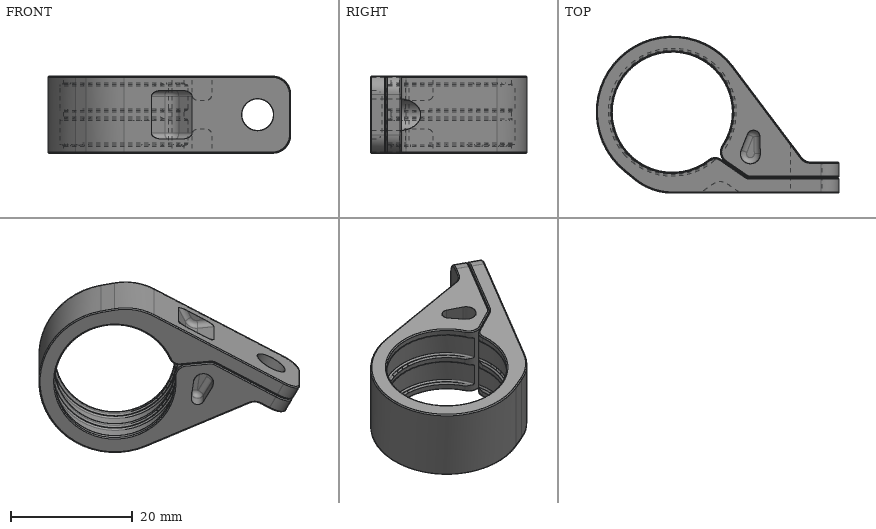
import cadquery as cq
import math


HEIGHT = 12.7
RING_RADIUS = 12.5
BORE_RADIUS = 9.875
RIM_CHAMFER = 0.2

BASE_Y = -13.31
BASE_CORNER_RADIUS = 9.75
TAB_END_X = 27.435
JAW_THICKNESS = 2.5
SLOT_WIDTH = 0.1
TAB_TOP_Y = BASE_Y + 2 * JAW_THICKNESS + SLOT_WIDTH
TAB_CORNER_RADIUS = 3.0
TAB_BLEND_RADIUS = 2.0
WEB_ANGLE = 36.9

SLOT_Y = BASE_Y + JAW_THICKNESS + SLOT_WIDTH / 2
SLOT_BEND_X = 12.42
SLOT_BEND_RADIUS = 1.5
SLOT_ANGLE = 34.6
LOWER_JAW_TIP_RADIUS = 1.6
UPPER_JAW_TIP_RADIUS = 2.0

SCREW_DIAMETER = 5.2
SCREW_X = 22.0

LAND_HEIGHT = 1.39
GROOVE_COUNT = 2
GROOVE_DEPTH = 0.65
GROOVE_ROUND = 0.28
GROOVE_HEIGHT = (HEIGHT - (GROOVE_COUNT + 1) * LAND_HEIGHT) / GROOVE_COUNT

V_POCKET_X = 7.89
V_POCKET_WIDTH = 6.69
V_POCKET_HEIGHT = 8.0
V_POCKET_SLOPE = 35.0
V_POCKET_ROOT_RADIUS = 2.0

WEB_POCKET_LARGE = (12.84, -6.84)
WEB_POCKET_LARGE_RADIUS = 1.64
WEB_POCKET_SMALL = (13.34, -4.02)
WEB_POCKET_SMALL_RADIUS = 1.06
WEB_POCKET_DEPTH = 4.0

POCKET_FLOOR_FILLET = 1.0

OVERCUT = 5.0


def polar(radius, degrees, center=(0.0, 0.0)):
    """Point at the given radius and direction from a centre."""
    angle = math.radians(degrees)
    return (center[0] + radius * math.cos(angle), center[1] + radius * math.sin(angle))


def make_body():
    """Solid outline of ring, web and tab, with rounded tab corners."""
    corner_center = (0.0, BASE_Y + BASE_CORNER_RADIUS)
    tangent_tilt = math.degrees(math.acos((RING_RADIUS - BASE_CORNER_RADIUS) / -corner_center[1]))
    flank_angle = 270 - tangent_tilt
    web_start = polar(RING_RADIUS, WEB_ANGLE)
    web_normal = math.radians(WEB_ANGLE)
    web_foot_x = (RING_RADIUS - TAB_TOP_Y * math.sin(web_normal)) / math.cos(web_normal)

    body = (
        cq.Workplane("XY", origin=(0, 0, -HEIGHT / 2))
        .moveTo(*web_start)
        .threePointArc(
            polar(RING_RADIUS, (WEB_ANGLE + flank_angle) / 2),
            polar(RING_RADIUS, flank_angle),
        )
        .lineTo(*polar(BASE_CORNER_RADIUS, flank_angle, corner_center))
        .threePointArc(
            polar(BASE_CORNER_RADIUS, (flank_angle + 270) / 2, corner_center),
            (0.0, BASE_Y),
        )
        .lineTo(TAB_END_X, BASE_Y)
        .lineTo(TAB_END_X, TAB_TOP_Y)
        .lineTo(web_foot_x, TAB_TOP_Y)
        .close()
        .extrude(HEIGHT)
    )
    web_foot = cq.selectors.NearestToPointSelector((web_foot_x, TAB_TOP_Y, 0))
    body = body.edges("|Z").edges(web_foot).fillet(TAB_BLEND_RADIUS)
    return body.faces(">X").edges("|Y").fillet(TAB_CORNER_RADIUS)


def make_slot():
    """Thin bent slot from the tab end, ending inside the bore."""
    inner_length = SLOT_BEND_X - BORE_RADIUS / 2
    tangent_length = SLOT_BEND_RADIUS * math.tan(math.radians(SLOT_ANGLE / 2))
    bend = (SLOT_BEND_X, SLOT_Y)
    bend_start = (SLOT_BEND_X + tangent_length, SLOT_Y)
    bend_end = polar(tangent_length, 180 - SLOT_ANGLE, bend)
    bend_center = (bend_start[0], SLOT_Y + SLOT_BEND_RADIUS)
    bend_middle = polar(SLOT_BEND_RADIUS, 270 - SLOT_ANGLE / 2, bend_center)
    path = (
        cq.Workplane("XY", origin=(0, 0, -HEIGHT / 2))
        .moveTo(TAB_END_X + OVERCUT, SLOT_Y)
        .lineTo(*bend_start)
        .threePointArc(bend_middle, bend_end)
        .lineTo(*polar(inner_length, 180 - SLOT_ANGLE, bend))
    )
    return path.offset2D(SLOT_WIDTH / 2).extrude(HEIGHT)


def split_jaws(body):
    """Cut bore and slot, round the jaw tips and chamfer every rim."""
    bore = cq.Workplane("XY").circle(BORE_RADIUS).extrude(HEIGHT, both=True)
    body = body.cut(bore).cut(make_slot())
    slot_tilt = math.radians(SLOT_ANGLE)
    slot_offset = SLOT_BEND_X * math.sin(slot_tilt) + SLOT_Y * math.cos(slot_tilt)
    mouth_angle = 90 - SLOT_ANGLE - math.degrees(math.acos(slot_offset / BORE_RADIUS))
    for side, tip_radius in ((-1, LOWER_JAW_TIP_RADIUS), (1, UPPER_JAW_TIP_RADIUS)):
        tip = polar(side * SLOT_WIDTH / 2, 90 - SLOT_ANGLE, polar(BORE_RADIUS, mouth_angle))
        tip_edge = cq.selectors.NearestToPointSelector((*tip, 0))
        body = body.edges("|Z").edges(tip_edge).fillet(tip_radius)
    return body.faces("<Z or >Z").edges("not |Y").chamfer(RIM_CHAMFER)


def make_groove(center_z):
    """Ring groove in the bore with rounded lips and rounded floor corners."""
    half_height = GROOVE_HEIGHT / 2
    floor_radius = BORE_RADIUS + GROOVE_DEPTH
    channel = (
        cq.Workplane("XY", origin=(0, 0, center_z))
        .circle(floor_radius)
        .extrude(half_height, both=True)
        .edges()
        .fillet(GROOVE_ROUND)
    )
    bore_edge = (BORE_RADIUS, half_height + GROOVE_ROUND)
    side_edge = (BORE_RADIUS + GROOVE_ROUND, half_height)
    lip_middle = polar(GROOVE_ROUND, 225, (side_edge[0], bore_edge[1]))
    lip = (
        cq.Workplane("XZ", origin=(0, 0, center_z))
        .moveTo(*bore_edge)
        .threePointArc(lip_middle, side_edge)
        .lineTo(BORE_RADIUS, half_height)
        .close()
        .revolve(360, (0, 0, 0), (0, 1, 0))
    )
    return channel.union(lip).union(lip.mirror("XY", (0, 0, center_z)))


def make_v_pocket():
    """V-shaped pocket tool with a rounded root and filleted ends."""
    slope = math.tan(math.radians(V_POCKET_SLOPE))
    half_width = V_POCKET_WIDTH / 2 + OVERCUT / slope
    root_y = BASE_Y + V_POCKET_WIDTH / 2 * slope
    tool = (
        cq.Workplane("XY", origin=(V_POCKET_X, 0, -V_POCKET_HEIGHT / 2))
        .moveTo(-half_width, BASE_Y - OVERCUT)
        .lineTo(half_width, BASE_Y - OVERCUT)
        .lineTo(0, root_y)
        .close()
        .extrude(V_POCKET_HEIGHT)
    )
    tool = tool.edges("|Z").edges(">Y").fillet(V_POCKET_ROOT_RADIUS)
    return tool.faces("<Z or >Z").edges("not <Y").fillet(POCKET_FLOOR_FILLET)


def make_web_pocket():
    """Tapered pocket tool: two circles joined by their outer tangents."""
    dx = WEB_POCKET_SMALL[0] - WEB_POCKET_LARGE[0]
    dy = WEB_POCKET_SMALL[1] - WEB_POCKET_LARGE[1]
    axis = math.degrees(math.atan2(dy, dx))
    taper = (WEB_POCKET_LARGE_RADIUS - WEB_POCKET_SMALL_RADIUS) / math.hypot(dx, dy)
    tangent = math.degrees(math.acos(taper))
    tool = (
        cq.Workplane("XY", origin=(0, 0, HEIGHT / 2 - WEB_POCKET_DEPTH))
        .moveTo(*polar(WEB_POCKET_SMALL_RADIUS, axis - tangent, WEB_POCKET_SMALL))
        .threePointArc(
            polar(WEB_POCKET_SMALL_RADIUS, axis, WEB_POCKET_SMALL),
            polar(WEB_POCKET_SMALL_RADIUS, axis + tangent, WEB_POCKET_SMALL),
        )
        .lineTo(*polar(WEB_POCKET_LARGE_RADIUS, axis + tangent, WEB_POCKET_LARGE))
        .threePointArc(
            polar(WEB_POCKET_LARGE_RADIUS, axis + 180, WEB_POCKET_LARGE),
            polar(WEB_POCKET_LARGE_RADIUS, axis - tangent, WEB_POCKET_LARGE),
        )
        .close()
        .extrude(WEB_POCKET_DEPTH + OVERCUT)
    )
    return tool.faces("<Z").edges().fillet(POCKET_FLOOR_FILLET)


def make_screw_hole():
    """Screw clearance hole through both jaws."""
    return (
        cq.Workplane("XZ", origin=(SCREW_X, TAB_TOP_Y + OVERCUT, 0))
        .circle(SCREW_DIAMETER / 2)
        .extrude(TAB_TOP_Y - BASE_Y + 2 * OVERCUT)
    )


part = split_jaws(make_body())
for index in range(GROOVE_COUNT):
    groove_z = (index - (GROOVE_COUNT - 1) / 2) * (GROOVE_HEIGHT + LAND_HEIGHT)
    part = part.cut(make_groove(groove_z))

web_pocket = make_web_pocket()
part = part.cut(web_pocket).cut(web_pocket.mirror("XY"))
part = part.cut(make_v_pocket()).cut(make_screw_hole())

result = part